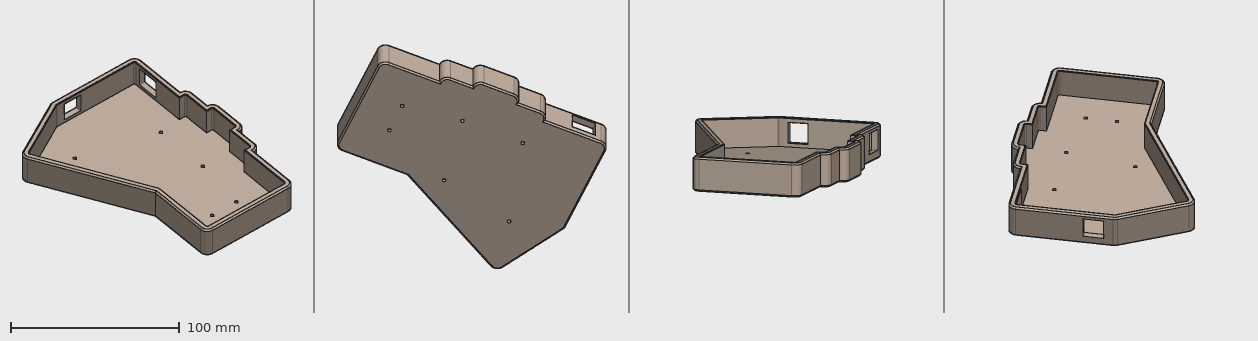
import cadquery as cq

length = 147.5
height = 20.5
floor_thickness = 3.0
outer_offset = 5.0
cavity_offset = 1.0
outer_chamfer = 1.0
rim_chamfer = 0.5

board_left = outer_offset
board_right = length - outer_offset
tip_x = 26.7
tip_y = outer_offset
left_front_y = 44.1
right_front_x = 99.0
right_front_y = 44.7
main_depth = 58.1
back_y = right_front_y + main_depth
wide_step_depth = 4.9
narrow_step_depth = 4.7
step_center_x = 75.5
wide_step_half = 29.0
narrow_step_half = 9.7

hole_diameter = 2.0
hole_places = [
    (47.2, 88.2),
    (86.1, 88.2),
    (123.0, 83.3),
    (123.0, 64.6),
    (79.0, 45.4),
    (32.1, 34.4),
]

window_bottom = 5.2
window_height = 12.5
window_corner_radius = 0.5
side_window_width = 12.5
side_window_y = 56.0
back_window_width = 15.0
back_window_x = 16.0
window_cut_depth = 2 * outer_offset


def board_outline(offset, base_z):
    """Board outline grown outward by an offset, with rounded corners."""
    first_step_y = back_y + wide_step_depth
    second_step_y = first_step_y + narrow_step_depth
    points = [
        (tip_x, tip_y),
        (right_front_x, right_front_y),
        (board_right, right_front_y),
        (board_right, back_y),
        (step_center_x + wide_step_half, back_y),
        (step_center_x + wide_step_half, first_step_y),
        (step_center_x + narrow_step_half, first_step_y),
        (step_center_x + narrow_step_half, second_step_y),
        (step_center_x - narrow_step_half, second_step_y),
        (step_center_x - narrow_step_half, first_step_y),
        (step_center_x - wide_step_half, first_step_y),
        (step_center_x - wide_step_half, back_y),
        (board_left, back_y),
        (board_left, left_front_y),
    ]
    outline = cq.Workplane("XY").workplane(offset=base_z).polyline(points).close()
    return outline.offset2D(offset, "arc")


def make_shell():
    """Open tray with chamfered outer edges and a chamfered inner rim."""
    block = board_outline(outer_offset, 0).extrude(height)
    block = block.faces("<Z or >Z").edges().chamfer(outer_chamfer)
    cavity_depth = height - floor_thickness
    cavity = board_outline(cavity_offset, floor_thickness).extrude(cavity_depth)
    shell = block.cut(cavity)
    rim_edges = shell.faces(">Z").wires().vals()[1].Edges()
    return shell.newObject(rim_edges).chamfer(rim_chamfer)


def make_screw_holes():
    """Pins that cut the screw holes through the floor."""
    return cq.Workplane("XY").pushPoints(hole_places).circle(hole_diameter / 2).extrude(floor_thickness)


def make_side_window():
    """Window through the left wall."""
    center = (0, side_window_y, window_bottom + window_height / 2)
    window = cq.Workplane("XY").box(window_cut_depth, side_window_width, window_height)
    return window.edges("|X").fillet(window_corner_radius).translate(center)


def make_back_window():
    """Window through the back wall, near the left corner."""
    outer_back_y = back_y + outer_offset
    center = (back_window_x, outer_back_y, window_bottom + window_height / 2)
    window = cq.Workplane("XY").box(back_window_width, window_cut_depth, window_height)
    return window.edges("|Y").fillet(window_corner_radius).translate(center)


result = make_shell()
result = result.cut(make_screw_holes())
result = result.cut(make_side_window())
result = result.cut(make_back_window())